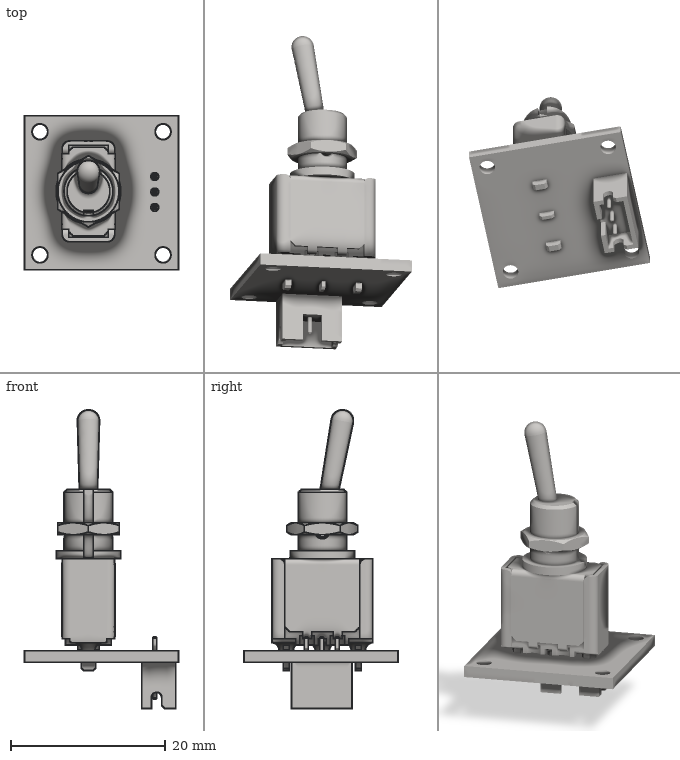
import cadquery as cq
import math


BOARD_SIZE = 20.0
BOARD_THICKNESS = 1.5
MOUNT_HOLE_DIAMETER = 2.0
MOUNT_HOLE_SPACING = 15.95
MOUNT_HOLE_Y = -0.08
PIN_HOLE_DIAMETER = 1.0

PIN_X = 6.9
CONNECTOR_Y = 0.1
PIN_PITCH = 2.0
PIN_COUNT = 3
PIN_DIAMETER = 0.55
PIN_CHAMFER = 0.2
PIN_TOP = 1.83
PIN_BOTTOM = -6.3
SHROUD_LENGTH = 7.85
SHROUD_WIDTH = 4.45
SHROUD_HEIGHT = 6.0
PIN_TO_SHROUD_SIDE = 1.7
SHROUD_WALL = 0.6
CAVITY_DEPTH = 3.4
SIDE_SLOT_WIDTH = 2.5
END_NOTCH_OFFSET = 1.28
END_NOTCH_WIDTH = 1.3
END_NOTCH_HEIGHT = 2.1
END_NOTCH_CHAMFER = 0.4

SWITCH_X = -1.69
SWITCH_Y = 0.17
BASE_BOTTOM = 0.73
BRACKET_BOTTOM = 1.52
COVER_BOTTOM = 2.45
CASE_TOP = 11.92
FLANGE_TOP = 12.97
NUT_BOTTOM = 15.0
NUT_TOP = 16.6
BUSHING_TOP = 20.9

COVER_WIDTH = 6.9
COVER_LENGTH = 9.75
COVER_TOP_FILLET = 0.75
COVER_CORNER_CHAMFER = 0.65
TAB_WIDTH = 1.17
TAB_BOTTOM = 1.55
TAB_THICKNESS = 0.6
TAB_FILLET = 0.4
TAB_SPACING = 3.96
BASE_WIDTH = 5.96
BASE_LENGTH = 6.9
RECESS_DIAMETER = 2.3
RECESS_CHORD = 1.87
RECESS_TOP = 1.96
TERMINAL_NOTCH_WIDTH = 1.0
TERMINAL_PLATE_WIDTH = 4.0
BRACKET_WIDTH = 6.8
BRACKET_LENGTH = 13.08
BRACKET_CORNER_RADIUS = 1.0
BRACKET_ARM_THICKNESS = 0.82
BRACKET_END_THICKNESS = 0.58
BRACKET_ARM_FILLET = 0.7
FOOT_THICKNESS = 0.46
FOOT_CORNER_FILLET = 0.2
CORE_LENGTH = 11.44
CORE_CORNER_CHAMFER = 0.55
CORE_GROOVE_DEPTH = 0.5

BUSHING_DIAMETER = 6.35
BUSHING_CHAMFER = 0.4
FLANGE_DIAMETER = 8.4
KEYWAY_WIDTH = 1.2
KEYWAY_DEPTH = 0.7
KEYWAY_RUNOUT_RADIUS = 2.88
KEYWAY_RUNOUT_Z = 14.7
CROSS_HOLE_Z = 15.55
CROSS_HOLE_DIAMETER = 1.6
CROSS_HOLE_SINK_DIAMETER = 2.1
CROSS_HOLE_SINK_DEPTH = 0.5
NUT_ACROSS_FLATS = 8.0
NUT_BORE_DIAMETER = 5.5
NUT_CHAMFER_DIAMETER = 7.9
NUT_CHAMFER_ANGLE = 30.0

LEVER_TILT = 10.5
LEVER_PIVOT_Z = 15.8
LEVER_BALL_DIAMETER = 2.9
LEVER_NECK_DIAMETER = 2.4
LEVER_BALL_DISTANCE = 14.2
LEVER_NECK_DISTANCE = 5.0
LEVER_ROOT_DISTANCE = 3.5

TERMINAL_SPACING = 4.67
LEG_WIDTH = 1.9
LEG_SHOULDER_WIDTH = 2.8
OUTER_LEG_THICKNESS = 0.78
CENTER_LEG_THICKNESS = 0.47
LEG_LENGTH = 2.57
LEG_CHAMFER = 0.33
SEAL_BOTTOM_RADIUS = 0.93
SEAL_TOP_RADIUS = 1.87
OUTER_SEAL_TOP = 1.05
CENTER_SEAL_TOP = 1.0
LEG_SHOULDER_BOTTOM = 0.1
LEG_SHOULDER_HEIGHT_RATIO = 0.7


def block(width, length, bottom, top, x=0.0, y=0.0):
    """Upright box centred on (x, y) between two levels."""
    return cq.Workplane().box(width, length, top - bottom, (True, True, False)).translate((x, y, bottom))


def cylinder(diameter, bottom, top, x=0.0, y=0.0):
    """Upright cylinder centred on (x, y) between two levels."""
    return cq.Workplane().circle(diameter / 2).extrude(top - bottom).translate((x, y, bottom))


TERMINALS = [
    (-TERMINAL_SPACING, OUTER_LEG_THICKNESS, OUTER_SEAL_TOP),
    (0.0, CENTER_LEG_THICKNESS, CENTER_SEAL_TOP),
    (TERMINAL_SPACING, OUTER_LEG_THICKNESS, OUTER_SEAL_TOP),
]
PIN_PLACES = [CONNECTOR_Y + PIN_PITCH * (i - (PIN_COUNT - 1) / 2) for i in range(PIN_COUNT)]


def make_board():
    board = block(BOARD_SIZE, BOARD_SIZE, -BOARD_THICKNESS, 0)
    holes = cq.Workplane().rect(MOUNT_HOLE_SPACING, MOUNT_HOLE_SPACING, forConstruction=True).vertices()
    drills = holes.circle(MOUNT_HOLE_DIAMETER / 2).extrude(-BOARD_THICKNESS)
    board = board.cut(drills.translate((0, MOUNT_HOLE_Y, 0)))
    for y in PIN_PLACES:
        board = board.cut(cylinder(PIN_HOLE_DIAMETER, -BOARD_THICKNESS, 0, PIN_X, y))
    for y, thickness, _ in TERMINALS:
        board = board.cut(block(LEG_WIDTH, thickness, -BOARD_THICKNESS, 0, SWITCH_X, SWITCH_Y + y))
    return board


def make_connector():
    top = -BOARD_THICKNESS
    bottom = top - SHROUD_HEIGHT
    left = PIN_X - PIN_TO_SHROUD_SIDE
    center_x = left + SHROUD_WIDTH / 2
    shroud = block(SHROUD_WIDTH, SHROUD_LENGTH, bottom, top, center_x, CONNECTOR_Y)

    cavity_top = bottom + CAVITY_DEPTH
    cavity = block(SHROUD_WIDTH - 2 * SHROUD_WALL, SHROUD_LENGTH - 2 * SHROUD_WALL,
                   bottom, cavity_top, center_x, CONNECTOR_Y)
    side_slot = block(2 * SHROUD_WALL, SIDE_SLOT_WIDTH, bottom, cavity_top, left, CONNECTOR_Y)

    notch_left = left + END_NOTCH_OFFSET
    notch_right = notch_left + END_NOTCH_WIDTH
    arch_base = bottom + END_NOTCH_HEIGHT - END_NOTCH_WIDTH / 2
    arch_crown = (notch_left + END_NOTCH_WIDTH / 2, bottom + END_NOTCH_HEIGHT)
    notch = (
        cq.Workplane("XZ", origin=(0, CONNECTOR_Y, 0))
        .moveTo(notch_left, bottom)
        .lineTo(notch_left, arch_base)
        .threePointArc(arch_crown, (notch_right, arch_base))
        .lineTo(notch_right, bottom + END_NOTCH_CHAMFER)
        .lineTo(notch_right + END_NOTCH_CHAMFER, bottom)
        .close()
        .extrude(SHROUD_LENGTH, both=True)
    )
    connector = shroud.cut(cavity).cut(side_slot).cut(notch)
    for y in PIN_PLACES:
        pin = cylinder(PIN_DIAMETER, PIN_BOTTOM, PIN_TOP, PIN_X, y)
        connector = connector.union(pin.faces("|Z").edges().chamfer(PIN_CHAMFER))
    return connector


def make_cover():
    """Sheet cover over the middle of the case, with crimped tabs along its lower edges."""
    cover = block(COVER_WIDTH, COVER_LENGTH, COVER_BOTTOM, CASE_TOP)
    cover = cover.faces(">Z").edges("|Y").fillet(COVER_TOP_FILLET)
    cover = cover.faces("<Z").edges("|X").chamfer(COVER_CORNER_CHAMFER)
    for side in (-1, 1):
        for y in (-TAB_SPACING / 2, TAB_SPACING / 2):
            x = side * (COVER_WIDTH - TAB_THICKNESS) / 2
            tab = block(TAB_THICKNESS, TAB_WIDTH, TAB_BOTTOM, COVER_BOTTOM, x, y)
            outer_face = ">X" if side > 0 else "<X"
            cover = cover.union(tab.faces(outer_face).edges("<Z").fillet(TAB_FILLET))
    return cover


def make_base():
    """Insulating base with scalloped sides and a notch across for the middle terminal."""
    base = block(BASE_WIDTH, COVER_LENGTH, BRACKET_BOTTOM, CASE_TOP - COVER_TOP_FILLET)
    base = base.union(block(BASE_WIDTH, BASE_LENGTH, BASE_BOTTOM, BRACKET_BOTTOM))
    radius = RECESS_DIAMETER / 2
    center_x = BASE_WIDTH / 2 + math.sqrt(radius**2 - (RECESS_CHORD / 2) ** 2)
    for x in (-center_x, center_x):
        for y in (-TAB_SPACING / 2, TAB_SPACING / 2):
            base = base.cut(cylinder(RECESS_DIAMETER, BASE_BOTTOM, RECESS_TOP, x, y))
    notch = block(BASE_WIDTH, TERMINAL_NOTCH_WIDTH, BASE_BOTTOM, BRACKET_BOTTOM)
    plate = block(TERMINAL_PLATE_WIDTH, TERMINAL_NOTCH_WIDTH, BRACKET_BOTTOM - FOOT_THICKNESS, BRACKET_BOTTOM)
    plate = plate.faces("<Z").edges("|Y").fillet(FOOT_CORNER_FILLET)
    return base.cut(notch).union(plate)


def make_bracket():
    """U-shaped end brackets with feet folded under the base, around the case core."""
    arm_end = COVER_LENGTH / 2
    bracket = block(BRACKET_WIDTH, BRACKET_LENGTH, BRACKET_BOTTOM, CASE_TOP)
    bracket = bracket.edges("|Z").fillet(BRACKET_CORNER_RADIUS)
    bracket = bracket.cut(block(BRACKET_WIDTH, 2 * arm_end, BRACKET_BOTTOM, CASE_TOP))
    inner_width = BRACKET_WIDTH - 2 * BRACKET_ARM_THICKNESS
    inner_length = BRACKET_LENGTH - 2 * BRACKET_END_THICKNESS
    bracket = bracket.cut(block(inner_width, inner_length, BRACKET_BOTTOM, CASE_TOP))
    margin = 0.01
    arm_tips = cq.selectors.BoxSelector(
        (-BRACKET_WIDTH, -arm_end - margin, CASE_TOP - margin),
        (BRACKET_WIDTH, arm_end + margin, CASE_TOP + margin),
    )
    bracket = bracket.edges("|X").edges(arm_tips).fillet(BRACKET_ARM_FILLET)

    core = block(inner_width, CORE_LENGTH, BRACKET_BOTTOM, CASE_TOP)
    core = core.edges("|Z").chamfer(CORE_CORNER_CHAMFER)
    core = core.union(block(inner_width, inner_length, BRACKET_BOTTOM, CASE_TOP - CORE_GROOVE_DEPTH))

    foot_width = BRACKET_WIDTH - 2 * BRACKET_CORNER_RADIUS
    foot = block(foot_width, BRACKET_LENGTH, BRACKET_BOTTOM - FOOT_THICKNESS, BRACKET_BOTTOM)
    foot = foot.faces("<Z").edges("|Y").fillet(FOOT_CORNER_FILLET)
    foot = foot.cut(block(foot_width, BASE_LENGTH, BASE_BOTTOM, BRACKET_BOTTOM))
    return bracket.union(core).union(foot)


def make_bushing():
    """Threaded bushing and flange with a keyway that runs out through the flange."""
    bushing = cylinder(BUSHING_DIAMETER, CASE_TOP, BUSHING_TOP)
    bushing = bushing.faces(">Z").edges().chamfer(BUSHING_CHAMFER)
    bushing = bushing.union(cylinder(FLANGE_DIAMETER, CASE_TOP, FLANGE_TOP))
    keyway_floor = -BUSHING_DIAMETER / 2 + KEYWAY_DEPTH
    runout_y = keyway_floor - KEYWAY_RUNOUT_RADIUS
    keyway = block(KEYWAY_WIDTH, 2 * KEYWAY_RUNOUT_RADIUS, KEYWAY_RUNOUT_Z, BUSHING_TOP, 0, runout_y)
    runout = (
        cq.Workplane("YZ", origin=(-KEYWAY_WIDTH / 2, runout_y, KEYWAY_RUNOUT_Z))
        .circle(KEYWAY_RUNOUT_RADIUS)
        .extrude(KEYWAY_WIDTH)
    )
    return bushing.cut(keyway).cut(runout)


def make_cross_hole():
    """Cutter for the pivot hole across the bushing, countersunk from both sides."""
    end_x = BUSHING_DIAMETER / 2
    sink_x = end_x - CROSS_HOLE_SINK_DEPTH
    hole_radius = CROSS_HOLE_DIAMETER / 2
    sink_radius = CROSS_HOLE_SINK_DIAMETER / 2
    return (
        cq.Workplane("XZ", origin=(0, 0, CROSS_HOLE_Z))
        .polyline([
            (-end_x, 0),
            (-end_x, sink_radius),
            (-sink_x, hole_radius),
            (sink_x, hole_radius),
            (end_x, sink_radius),
            (end_x, 0),
        ])
        .close()
        .revolve(360, (0, 0, 0), (1, 0, 0))
    )


def make_nut():
    """Hexagon nut with corners on the Y axis, and both faces chamfered outside and at the bore."""
    thickness = NUT_TOP - NUT_BOTTOM
    corner_diameter = NUT_ACROSS_FLATS / math.cos(math.pi / 6)
    nut = cq.Workplane().polygon(6, corner_diameter).extrude(thickness).rotate((0, 0, 0), (0, 0, 1), 90)
    chamfer_radius = NUT_CHAMFER_DIAMETER / 2
    outer_radius = corner_diameter / 2
    drop = (outer_radius - chamfer_radius) * math.tan(math.radians(NUT_CHAMFER_ANGLE))
    envelope = (
        cq.Workplane("XZ")
        .polyline([
            (0, 0),
            (chamfer_radius, 0),
            (outer_radius, drop),
            (outer_radius, thickness - drop),
            (chamfer_radius, thickness),
            (0, thickness),
        ])
        .close()
        .revolve(360, (0, 0, 0), (0, 1, 0))
    )
    nut = nut.intersect(envelope).cut(cylinder(NUT_BORE_DIAMETER, 0, thickness))
    bore_chamfer = (BUSHING_DIAMETER - NUT_BORE_DIAMETER) / 2
    nut = nut.edges(cq.selectors.RadiusNthSelector(0)).chamfer(bore_chamfer)
    return nut.translate((0, 0, NUT_BOTTOM))


def make_lever():
    """Tapered lever with a ball end, tilted towards +Y."""
    ball_radius = LEVER_BALL_DIAMETER / 2
    neck_radius = LEVER_NECK_DIAMETER / 2
    diagonal = ball_radius * math.sqrt(0.5)
    lever = (
        cq.Workplane("YZ")
        .moveTo(0, LEVER_ROOT_DISTANCE)
        .lineTo(neck_radius, LEVER_ROOT_DISTANCE)
        .lineTo(neck_radius, LEVER_NECK_DISTANCE)
        .lineTo(ball_radius, LEVER_BALL_DISTANCE)
        .threePointArc((diagonal, LEVER_BALL_DISTANCE + diagonal), (0, LEVER_BALL_DISTANCE + ball_radius))
        .close()
        .revolve(360, (0, 0, 0), (0, 1, 0))
    )
    return lever.rotate((0, 0, 0), (1, 0, 0), -LEVER_TILT).translate((0, 0, LEVER_PIVOT_Z))


def make_terminal(y, thickness, seal_top):
    """Flat leg through the board, with a flared seal where it enters the base."""
    leg = block(LEG_WIDTH, thickness, -LEG_LENGTH, BRACKET_BOTTOM)
    leg = leg.faces("<Z").edges("|Y").chamfer(LEG_CHAMFER)
    shoulder_top = LEG_SHOULDER_HEIGHT_RATIO * seal_top
    shoulder = block(LEG_SHOULDER_WIDTH, thickness, LEG_SHOULDER_BOTTOM, shoulder_top)
    flare = SEAL_TOP_RADIUS - SEAL_BOTTOM_RADIUS
    seal = (
        cq.Workplane("XZ")
        .lineTo(SEAL_BOTTOM_RADIUS, 0)
        .threePointArc(
            (SEAL_BOTTOM_RADIUS + flare * (1 - math.sqrt(0.5)), seal_top * math.sqrt(0.5)),
            (SEAL_TOP_RADIUS, seal_top),
        )
        .lineTo(0, seal_top)
        .close()
        .revolve(360, (0, 0, 0), (0, 1, 0))
    )
    return leg.union(shoulder).union(seal).translate((0, y, 0))


def make_switch():
    switch = make_cover().union(make_base()).union(make_bracket())
    switch = switch.union(make_bushing()).union(make_lever())
    switch = switch.cut(make_cross_hole()).union(make_nut())
    for y, thickness, seal_top in TERMINALS:
        switch = switch.union(make_terminal(y, thickness, seal_top))
    return switch.translate((SWITCH_X, SWITCH_Y, 0))


board = make_board()
connector = make_connector()
switch = make_switch()

result = cq.Compound.makeCompound([part.solids().val() for part in (board, connector, switch)])